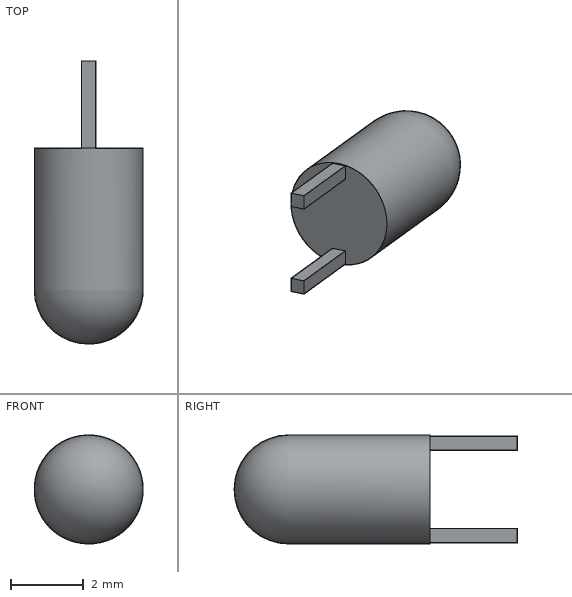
import cadquery as cq

total_length = 7.8
body_diameter = 3.0
lead_length = 2.4
lead_width = 0.4
lead_pitch = 2.54

body_radius = body_diameter / 2
body_length = total_length - lead_length
dome_rim_y = body_radius
dome_arc_offset = body_radius * 0.5 ** 0.5


def make_body():
    """Cylinder with a hemispherical end whose tip is at the origin."""
    half_profile = (
        cq.Workplane("XY")
        .moveTo(0, 0)
        .threePointArc(
            (dome_arc_offset, dome_rim_y - dome_arc_offset),
            (body_radius, dome_rim_y),
        )
        .lineTo(body_radius, body_length)
        .lineTo(0, body_length)
        .close()
    )
    return half_profile.revolve(360, (0, 0, 0), (0, 1, 0))


def make_lead(center_z):
    """Square lead standing on the flat back face of the body."""
    return (
        cq.Workplane("XY")
        .box(lead_width, lead_length, lead_width, centered=(True, False, True))
        .translate((0, body_length, center_z))
    )


result = make_body()
for side in (-1, 1):
    result = result.union(make_lead(side * lead_pitch / 2))